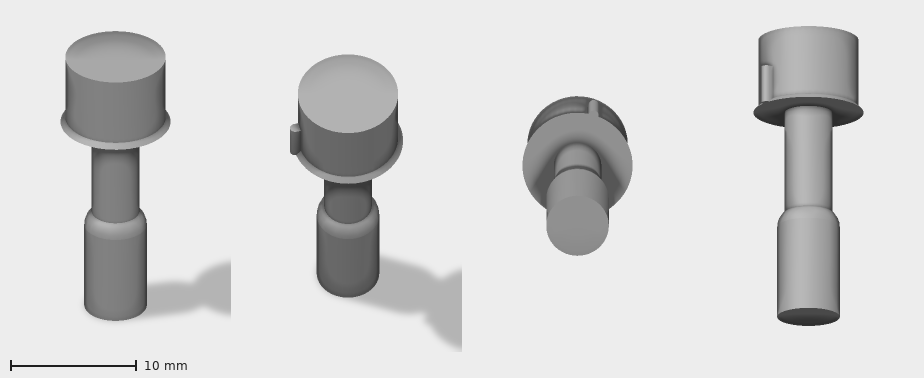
import cadquery as cq
import math

total_height = 23.0
head_diameter = 8.0
head_height = 6.0
flange_diameter = 8.79
flange_height = 0.41
neck_diameter = 3.8
foot_diameter = 5.0
foot_straight_height = 7.5
shoulder_radius = 1.5
key_width = 0.8
key_height = 3.0
key_reach = 4.75

head_radius = head_diameter / 2
flange_radius = flange_diameter / 2
neck_radius = neck_diameter / 2
foot_radius = foot_diameter / 2
head_base = total_height - head_height
shoulder_center = foot_radius - shoulder_radius


def shoulder_point(angle):
    """Point on the rounded shoulder, angle measured up from horizontal."""
    return (
        shoulder_center + shoulder_radius * math.cos(angle),
        foot_straight_height + shoulder_radius * math.sin(angle),
    )


def make_body():
    """Revolved foot, neck, tapered flange and head."""
    end_angle = math.acos((neck_radius - shoulder_center) / shoulder_radius)
    profile = (
        cq.Workplane("XZ")
        .lineTo(foot_radius, 0)
        .lineTo(foot_radius, foot_straight_height)
        .threePointArc(shoulder_point(end_angle / 2), shoulder_point(end_angle))
        .lineTo(neck_radius, head_base)
        .lineTo(flange_radius, head_base)
        .lineTo(head_radius, head_base + flange_height)
        .lineTo(head_radius, total_height)
        .lineTo(0, total_height)
        .close()
    )
    return profile.revolve(360, (0, 0, 0), (0, 1, 0))


def make_key():
    """Locating key on the +Y side of the head, with a fully rounded outer end."""
    half_width = key_width / 2
    round_start = key_reach - half_width
    return (
        cq.Workplane("XY", origin=(0, 0, head_base))
        .moveTo(-half_width, 0)
        .lineTo(half_width, 0)
        .lineTo(half_width, round_start)
        .threePointArc((0, key_reach), (-half_width, round_start))
        .close()
        .extrude(key_height)
    )


result = make_body().union(make_key())